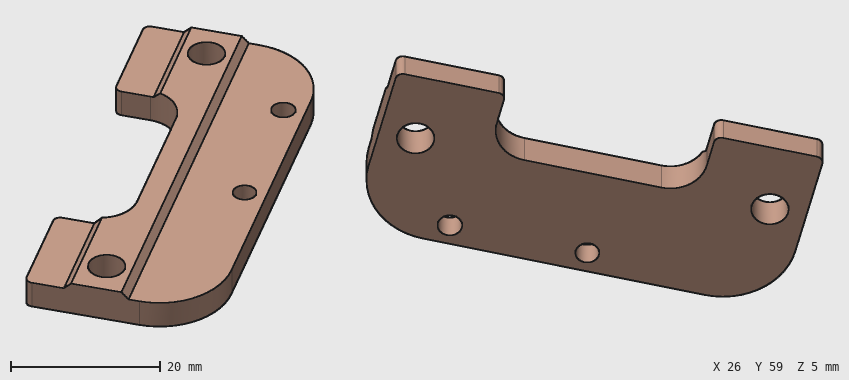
import cadquery as cq

length = 59.0
width = 26.0
height = 5.0
ridge_height = 1.0
plate_thickness = height - ridge_height
large_corner_radius = 10.05
small_corner_radius = 1.0

notch_length = 29.0
notch_depth = 10.05
notch_radius = 5.0

ridge_left = 5.5
ridge_right = 14.5

mount_hole_diameter = 5.0
mount_hole_x = notch_depth
mount_hole_end_distance = 5.0
upper_small_hole_diameter = 3.3
lower_small_hole_diameter = 3.2
small_hole_x = 23.0
small_hole_end_distance = 13.0
small_hole_spacing = 19.0


def stepped_bar():
    """Full-length bar whose cross-section carries the raised ridge."""
    profile = [
        (0, 0),
        (width, 0),
        (width, plate_thickness),
        (ridge_right, plate_thickness),
        (ridge_right - ridge_height, height),
        (ridge_left + ridge_height, height),
        (ridge_left, plate_thickness),
        (0, plate_thickness),
    ]
    return cq.Workplane("XZ").polyline(profile).close().extrude(length / 2, both=True)


def outline():
    """C-shaped plan outline with rounded corners, as tall as the part."""
    plate = cq.Workplane("XY").box(width, length, height, centered=(False, True, False))
    notch = cq.Workplane("XY").box(notch_depth, notch_length, height, centered=(False, True, False))
    notch_corners = cq.selectors.BoxSelector(
        (notch_depth / 2, -length, 0), (width - notch_depth / 2, length, height)
    )
    body = plate.cut(notch)
    body = body.edges("|Z").edges(notch_corners).fillet(notch_radius)
    body = body.edges("|Z and >X").fillet(large_corner_radius)
    return body.edges("|Z and <X").fillet(small_corner_radius)


def through_holes(centers, diameter):
    """Cylinders through the full height at the given XY centers."""
    return cq.Workplane("XY").pushPoints(centers).circle(diameter / 2).extrude(height)


mount_hole_y = length / 2 - mount_hole_end_distance
mount_holes = [(mount_hole_x, side * mount_hole_y) for side in (-1, 1)]

upper_small_hole_y = length / 2 - small_hole_end_distance
lower_small_hole_y = upper_small_hole_y - small_hole_spacing

result = (
    stepped_bar()
    .intersect(outline())
    .cut(through_holes(mount_holes, mount_hole_diameter))
    .cut(through_holes([(small_hole_x, upper_small_hole_y)], upper_small_hole_diameter))
    .cut(through_holes([(small_hole_x, lower_small_hole_y)], lower_small_hole_diameter))
)